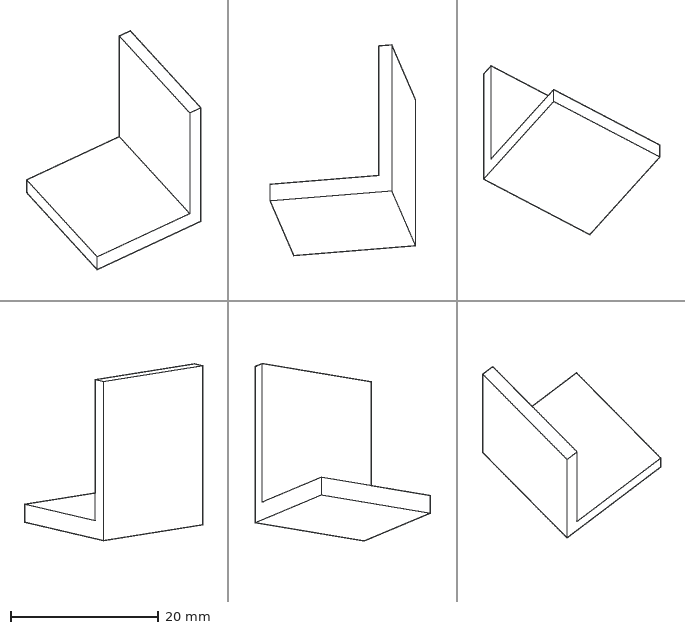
import cadquery as cq

width = 17.5
depth = 16.8
height = 22.0

base_thickness = 2.5
wall_thickness = 1.8


def corner_block(size_x, size_y, size_z):
    """Box whose bottom rear edge is centred on the origin, reaching toward -Y."""
    return cq.Workplane("XY").box(size_x, size_y, size_z, centered=(True, False, False)).translate(
        (0, -size_y, 0)
    )


base = corner_block(width, depth, base_thickness)
wall = corner_block(width, wall_thickness, height)

result = base.union(wall)